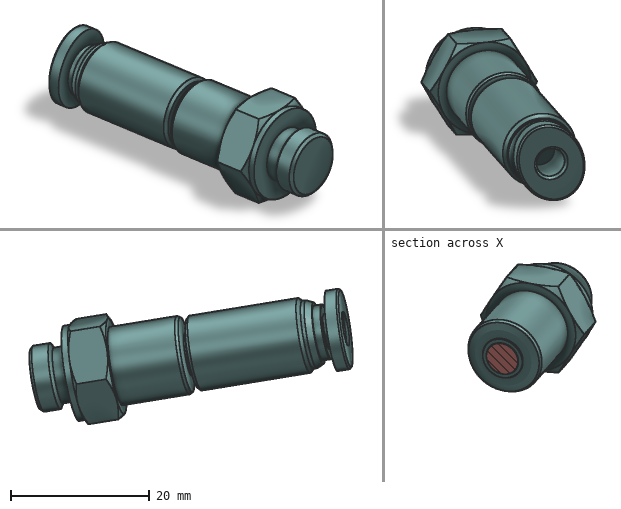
import cadquery as cq
import math

FLANGE_LONG = 12.1
FLANGE_SHORT = 9.78
FLANGE_TILT = 25.5
FLANGE_LENGTH = 2.0
FLANGE_CHAMFER = 0.28
SLEEVE_D = 5.2
TUBE_D = 4.2
TUBE_MOUTH_D = 5.0

COLLAR_START = 2.8
COLLAR_D = 8.1
COLLAR_CHAMFER = 0.1
NOSE_START = 4.05
NOSE_D = 9.05
LAND_START = 5.05
LAND_D = 10.0
SHOULDER_START = 5.6
BARREL_START = 6.15
BARREL_D = 11.0
BARREL_END = 22.67
BARREL_CHAMFER = 0.45
NECK_D = 5.0
STEM_START = 23.05
STEM_D = 6.2

HOUSING_START = 23.3
FACE_D = 8.8
RIM_START = 23.6
RIM_D = 11.0
SOCKET_START = 24.05
SOCKET_D = 11.5
HEX_START = 33.95
HEX_END = 39.6
HEX_FLATS = 14.0
HEX_BEVEL_ANGLE = 30.0
WASHER_END = 40.58
UNDERCUT_D = 8.2
UNDERCUT_END = 42.55
THREAD_D = 9.75
THREAD_START = 43.0
TOTAL_LENGTH = 45.9
END_CHAMFER = 0.45

HEX_CORNERS = HEX_FLATS / math.cos(math.radians(30))
HEX_BEVEL = (HEX_CORNERS - HEX_FLATS) / 2 * math.tan(math.radians(HEX_BEVEL_ANGLE))
SLEEVE_END = SHOULDER_START
STEM_END = HEX_START


def turned(profile):
    """Revolve (x, diameter) steps about the X axis, closing them on the axis."""
    points = [(x, diameter / 2) for x, diameter in profile]
    outline = [(points[0][0], 0)] + points + [(points[-1][0], 0)]
    return cq.Workplane("XY").polyline(outline).close().revolve(360, (0, 0, 0), (1, 0, 0))


def cylinder(start, end, diameter):
    return turned([(start, diameter), (end, diameter)])


def make_release_ring():
    flange = (
        cq.Workplane("YZ")
        .ellipse(FLANGE_SHORT / 2, FLANGE_LONG / 2)
        .extrude(FLANGE_LENGTH)
        .faces("<X")
        .chamfer(FLANGE_CHAMFER)
        .rotate((0, 0, 0), (1, 0, 0), -FLANGE_TILT)
    )
    mouth_depth = (TUBE_MOUTH_D - TUBE_D) / 2
    tube_hole = turned([(0, TUBE_MOUTH_D), (mouth_depth, TUBE_D), (SLEEVE_END, TUBE_D)])
    return flange.union(cylinder(FLANGE_LENGTH, SLEEVE_END, SLEEVE_D)).cut(tube_hole)


def make_cartridge():
    barrel = turned([
        (COLLAR_START, COLLAR_D - 2 * COLLAR_CHAMFER),
        (COLLAR_START + COLLAR_CHAMFER, COLLAR_D),
        (NOSE_START, COLLAR_D),
        (NOSE_START, NOSE_D),
        (LAND_START, LAND_D),
        (SHOULDER_START, LAND_D),
        (BARREL_START, BARREL_D),
        (BARREL_END - BARREL_CHAMFER, BARREL_D),
        (BARREL_END, BARREL_D - 2 * BARREL_CHAMFER),
        (BARREL_END, NECK_D),
        (STEM_START, NECK_D),
        (STEM_START, STEM_D),
        (STEM_END, STEM_D),
    ])
    return barrel.cut(cylinder(COLLAR_START, SLEEVE_END, SLEEVE_D))


def make_hexagon():
    """Hexagon with corners on the Y axis, bevelled at both ends."""
    prism = (
        cq.Workplane("YZ", origin=(HEX_START, 0, 0))
        .polygon(6, HEX_CORNERS)
        .extrude(HEX_END - HEX_START)
    )
    bevel_envelope = turned([
        (HEX_START, HEX_FLATS),
        (HEX_START + HEX_BEVEL, HEX_CORNERS),
        (HEX_END - HEX_BEVEL, HEX_CORNERS),
        (HEX_END, HEX_FLATS),
    ])
    return prism.intersect(bevel_envelope)


def make_housing():
    socket = turned([
        (HOUSING_START, FACE_D),
        (RIM_START, RIM_D),
        (SOCKET_START, SOCKET_D),
        (HEX_START, SOCKET_D),
    ])
    threaded_end = turned([
        (HEX_END, HEX_FLATS),
        (WASHER_END, HEX_FLATS),
        (WASHER_END, UNDERCUT_D),
        (UNDERCUT_END, UNDERCUT_D),
        (THREAD_START, THREAD_D),
        (TOTAL_LENGTH - END_CHAMFER, THREAD_D),
        (TOTAL_LENGTH, THREAD_D - 2 * END_CHAMFER),
    ])
    housing = socket.union(make_hexagon()).union(threaded_end)
    return housing.cut(cylinder(HOUSING_START, STEM_END, STEM_D))


release_ring = make_release_ring()
cartridge = make_cartridge()
housing = make_housing()

result = cq.Compound.makeCompound([
    release_ring.solids().val(),
    cartridge.solids().val(),
    housing.solids().val(),
])